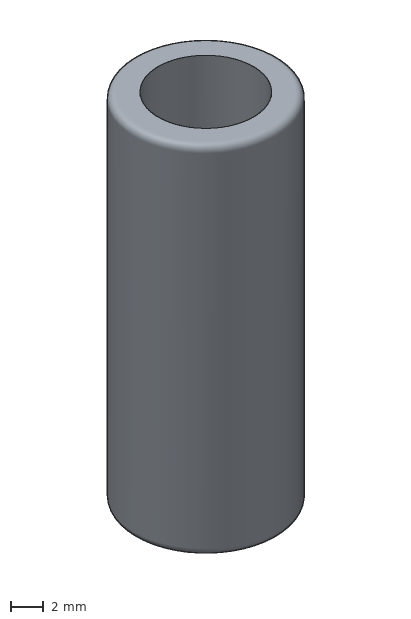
import cadquery as cq

length = 30.0
outer_diameter = 12.0
bore_diameter = 8.0
rim_radius = 0.5

body = cq.Workplane("XY").circle(outer_diameter / 2).extrude(length)

rounded_body = body.faces("|Z").edges().fillet(rim_radius)

result = rounded_body.faces(">Z").workplane().hole(bore_diameter)